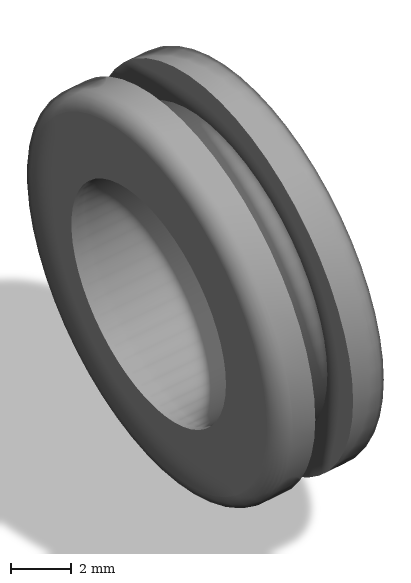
import cadquery as cq

outer_diameter = 15.0
groove_diameter = 12.0
bore_diameter = 9.0
width = 4.5
groove_width = 1.5
rim_fillet = 0.6


def disc(diameter, length):
    """Cylinder along Y, centred on the origin."""
    return cq.Workplane("XZ").cylinder(length, diameter / 2)


body = disc(outer_diameter, width).edges("%CIRCLE").fillet(rim_fillet)

groove = disc(outer_diameter, groove_width).cut(disc(groove_diameter, groove_width))

bore = disc(bore_diameter, width)

result = body.cut(groove).cut(bore)